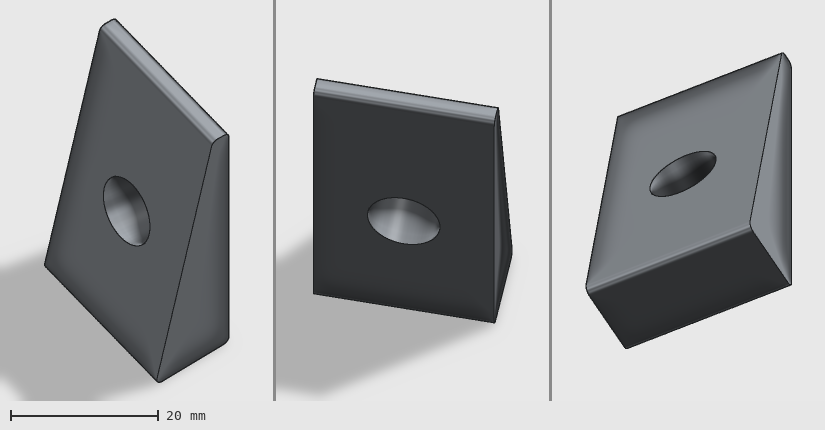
import cadquery as cq
import math

width = 25.0
depth = 12.3
height = 45.95
slope_angle = math.radians(12.0)
edge_radius = 1.0
hole_diameter = 10.0
hole_height = 22.0

sharp_depth = depth - edge_radius + edge_radius * (1 / math.cos(slope_angle) + math.tan(slope_angle))


def face_y(z):
    """Y of the sloped front face at height z; the back face is at Y = 0."""
    return z * math.tan(slope_angle) - sharp_depth


def make_wedge():
    """Wedge with a vertical back, rounded along its four X edges."""
    profile = [
        (0, 0),
        (face_y(0), 0),
        (face_y(height), height),
        (0, height),
    ]
    wedge = cq.Workplane("YZ").polyline(profile).close().extrude(width / 2, both=True)
    return wedge.edges("|X").fillet(edge_radius)


def make_hole_cutter():
    """Cylinder square to the sloped face, long enough to pass right through."""
    inward = cq.Vector(0, math.cos(slope_angle), -math.sin(slope_angle))
    centre = cq.Vector(0, face_y(hole_height), hole_height)
    cylinder = cq.Solid.makeCylinder(
        hole_diameter / 2, 2 * depth, centre - inward * depth, inward
    )
    return cq.Workplane(obj=cylinder)


result = make_wedge().cut(make_hole_cutter())